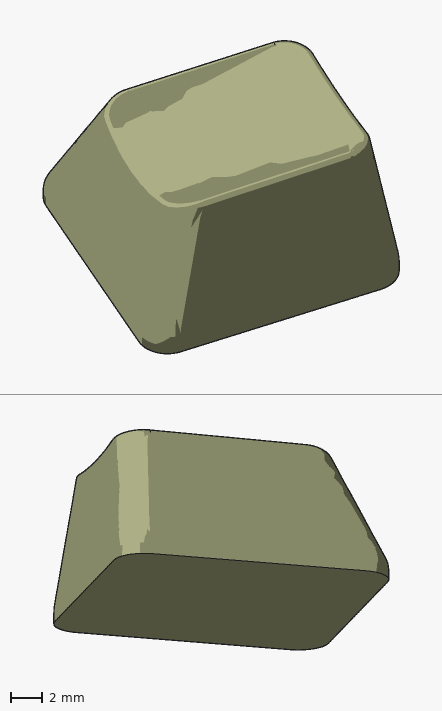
import cadquery as cq

base_size = 18.16
skirt_height = 1.0
corner_radius = 2.02
bend_reach = 0.29
bend_bottom = skirt_height - bend_reach
bend_top = skirt_height + bend_reach
bend_steps = 4

side_slope = 0.38
front_slope = 0.39
back_slope = 0.085
blank_height = 9.8

dish_half_width = 6.54
dish_edge_back = 9.52
dish_edge_front = 9.45
dish_floor_back = 8.88
dish_floor_front = 7.88
rim_radius = 0.35
cutter_clearance = 0.18


def outline_at(z, taper_height):
    """Rounded outline at height z, drawn in as if the walls had sloped for taper_height."""
    front_inset = front_slope * taper_height
    back_inset = back_slope * taper_height
    width = base_size - 2 * side_slope * taper_height
    depth = base_size - front_inset - back_inset
    center = cq.Vector(0, (front_inset - back_inset) / 2, z)
    return cq.Sketch().rect(width, depth).vertices().fillet(corner_radius).moved(cq.Location(center))


def make_skirt():
    return cq.Workplane("XY").placeSketch(outline_at(0, 0)).extrude(bend_bottom)


def make_bend():
    """Parabolic blend from the upright skirt to the sloping walls."""
    sections = []
    for step in range(bend_steps + 1):
        share = step / bend_steps
        z = bend_bottom + share * (bend_top - bend_bottom)
        sections.append(outline_at(z, bend_reach * share**2))
    return cq.Workplane("XY").placeSketch(*sections).loft()


def make_walls():
    bottom = outline_at(bend_top, bend_reach)
    top = outline_at(blank_height, blank_height - skirt_height)
    return cq.Workplane("XY").placeSketch(bottom, top).loft(ruled=True)


def dish_section(y, edge_z, floor_z):
    """Closed section in a plane of constant y: an arc below, straight sides above."""
    ceiling_z = blank_height + cutter_clearance
    arc = cq.Edge.makeThreePointArc(
        cq.Vector(-dish_half_width, y, edge_z),
        cq.Vector(0, y, floor_z),
        cq.Vector(dish_half_width, y, edge_z),
    )
    sides = cq.Wire.makePolygon(
        [
            cq.Vector(dish_half_width, y, edge_z),
            cq.Vector(dish_half_width, y, ceiling_z),
            cq.Vector(-dish_half_width, y, ceiling_z),
            cq.Vector(-dish_half_width, y, edge_z),
        ]
    )
    return cq.Wire.assembleEdges([arc] + sides.Edges())


def make_dish_cutter():
    half_depth = base_size / 2
    back = dish_section(half_depth, dish_edge_back, dish_floor_back)
    front = dish_section(-half_depth, dish_edge_front, dish_floor_front)
    return cq.Workplane(cq.Solid.makeLoft([back, front], True))


body = make_skirt().union(make_bend()).union(make_walls())

body = body.cut(make_dish_cutter())
dish_middle = (0, 0, (dish_floor_back + dish_floor_front) / 2)
dish_face = body.faces(cq.selectors.NearestToPointSelector(dish_middle))
result = dish_face.edges().fillet(rim_radius)